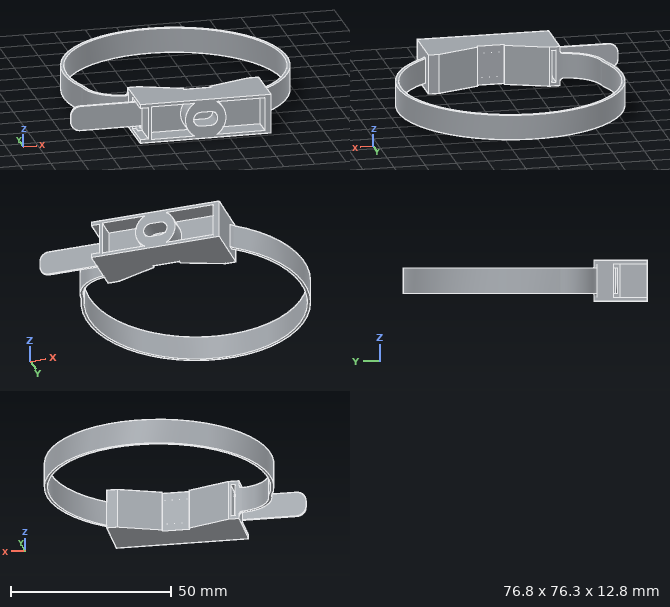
import cadquery as cq
import math

overall_length = 76.83
overall_depth = 76.29

body_length = 42.0
body_depth = 16.75
body_height = 12.8
saddle_shoulder = 3.4
saddle_half_width = 4.3
saddle_lip_y = 11.95
saddle_floor_y = 11.0

wall = 1.0
pocket_depth = 6.5
pocket_right_margin = 2.0
boss_diameter = 13.0
keyhole_length = 7.7
keyhole_width = 4.6

recess_length = 2.6
recess_height = 10.3
recess_top_y = 10.6
anchor_bar_length = 1.25
slot_bottom_y = 8.35
slot_height = 10.4
guide_floor_y = 8.65
guide_entry_length = 1.0

strap_width = 8.0
strap_thickness = 1.0
ring_radius = 35.85
bend_radius = 11.8
flare_radius = 1.1
ring_end_x = 21.8
tail_thickness = 0.7
tail_bottom_y = 9.35
tail_corner_radius = 3.0

body_left = -body_length / 2
body_right = body_length / 2
recess_right = body_left + recess_length
ring_center_y = overall_depth - ring_radius
ring_inner_radius = ring_radius - strap_thickness
tail_left = ring_radius - overall_length
tail_top_y = tail_bottom_y + tail_thickness
bend_center_y = body_depth - strap_thickness / 2 + bend_radius


def block(x_min, x_max, y_min, y_max, height):
    """Box between the given X and Y limits, centred on Z = 0."""
    size_x = x_max - x_min
    size_y = y_max - y_min
    return cq.Workplane("XY").box(size_x, size_y, height).translate(
        ((x_min + x_max) / 2, (y_min + y_max) / 2, 0)
    )


def ring_point(radius, angle):
    """Point on a circle about the loop centre."""
    return (radius * math.cos(angle), ring_center_y + radius * math.sin(angle))


def bend_point(radius, angle):
    """Point on a circle about the centre of the left bend."""
    return (body_left + radius * math.cos(angle), bend_center_y + radius * math.sin(angle))


def make_blank():
    """Body block with the saddle cut into its +Y side."""
    shoulder_x = body_right - saddle_shoulder
    return (
        cq.Workplane("XY")
        .moveTo(body_left, 0)
        .lineTo(body_right, 0)
        .lineTo(body_right, body_depth)
        .lineTo(shoulder_x, body_depth)
        .lineTo(saddle_half_width, saddle_lip_y)
        .lineTo(saddle_half_width, saddle_floor_y)
        .lineTo(-saddle_half_width, saddle_floor_y)
        .lineTo(-saddle_half_width, saddle_lip_y)
        .lineTo(-shoulder_x, body_depth)
        .lineTo(body_left, body_depth)
        .close()
        .extrude(body_height / 2, both=True)
    )


def make_pocket():
    """Front pocket, leaving the round boss and opening the keyhole inside it."""
    pocket = block(
        recess_right + wall, body_right - pocket_right_margin,
        0, pocket_depth, body_height - 2 * wall,
    )
    front_plane = cq.Workplane("XZ")
    boss = front_plane.circle(boss_diameter / 2).extrude(-pocket_depth)
    keyhole = front_plane.slot2D(keyhole_length, keyhole_width).extrude(-pocket_depth)
    return pocket.cut(boss).union(keyhole)


def make_end_recess():
    """Left recess, the slot behind the anchor bar and the guide for the tail."""
    recess = block(body_left, recess_right, 0, recess_top_y, recess_height)
    slot = block(
        body_left + anchor_bar_length, recess_right,
        slot_bottom_y, body_depth, slot_height,
    )
    guide_entry = block(
        recess_right, recess_right + guide_entry_length,
        guide_floor_y, recess_top_y, slot_height,
    )
    guide = block(recess_right, body_right - wall, tail_bottom_y, recess_top_y, strap_width)
    return recess.union(slot).union(guide_entry).union(guide)


def loop_bend_crossing(loop_radius, bend_arc_radius):
    """Angles, about the loop and bend centres, where two of their circles cross."""
    offset_y = bend_center_y - ring_center_y
    distance = math.hypot(body_left, offset_y)
    direction = math.atan2(offset_y, body_left)
    loop_cosine = (loop_radius**2 + distance**2 - bend_arc_radius**2) / (2 * loop_radius * distance)
    loop_angle = direction - math.acos(loop_cosine)
    crossing_x, crossing_y = ring_point(loop_radius, loop_angle)
    bend_angle = math.atan2(crossing_y - bend_center_y, crossing_x - body_left)
    return loop_angle, bend_angle


def make_strap_outline():
    """Closed XY outline from the anchor bar, around the loop and out along the tail."""
    bend_outer_radius = bend_radius + strap_thickness / 2
    bend_inner_radius = bend_radius - strap_thickness / 2
    outer_loop_start, outer_bend_end = loop_bend_crossing(ring_radius, bend_outer_radius)
    inner_loop_start, inner_bend_end = loop_bend_crossing(ring_inner_radius, bend_inner_radius)

    loop_end = -math.acos(ring_end_x / ring_radius)
    outer_end_x, outer_end_y = ring_point(ring_radius, loop_end)
    inner_end_x, inner_end_y = ring_point(ring_inner_radius, loop_end)
    run_per_drop = -math.tan(loop_end)
    outer_foot_x = outer_end_x - (outer_end_y - tail_bottom_y) / run_per_drop
    inner_foot_x = inner_end_x - (inner_end_y - tail_top_y) / run_per_drop

    bend_start = -math.pi / 2
    loop_top = math.pi / 2
    return (
        cq.Workplane("XY")
        .moveTo(*bend_point(bend_outer_radius, bend_start))
        .threePointArc(
            bend_point(bend_outer_radius, (bend_start + outer_bend_end) / 2),
            ring_point(ring_radius, outer_loop_start),
        )
        .threePointArc(ring_point(ring_radius, loop_top), (outer_end_x, outer_end_y))
        .lineTo(outer_foot_x, tail_bottom_y)
        .lineTo(tail_left, tail_bottom_y)
        .lineTo(tail_left, tail_top_y)
        .lineTo(inner_foot_x, tail_top_y)
        .lineTo(inner_end_x, inner_end_y)
        .threePointArc(
            ring_point(ring_inner_radius, loop_top),
            ring_point(ring_inner_radius, inner_loop_start),
        )
        .threePointArc(
            bend_point(bend_inner_radius, (bend_start + inner_bend_end) / 2),
            bend_point(bend_inner_radius, bend_start),
        )
        .close()
    )


def make_strap():
    """Strap at its regular width, with the tip of the tail rounded."""
    strap = make_strap_outline().extrude(strap_width / 2, both=True)
    return strap.faces("<X").edges("|Y").fillet(tail_corner_radius)


def make_flare():
    """Concave widening of the strap where it joins the anchor bar."""
    flare_left = body_left - flare_radius
    flare_height = strap_width + 2 * flare_radius
    widened_strap = make_strap_outline().extrude(flare_height / 2, both=True)
    joint = block(flare_left, body_left, tail_top_y, overall_depth / 2, flare_height)
    flare = widened_strap.intersect(joint)
    for side in (-1, 1):
        relief = (
            cq.Workplane("XZ")
            .center(flare_left, side * flare_height / 2)
            .circle(flare_radius)
            .extrude(-overall_depth / 2)
        )
        flare = flare.cut(relief)
    return flare


body = make_blank().cut(make_pocket()).cut(make_end_recess())
result = body.union(make_flare()).union(make_strap())